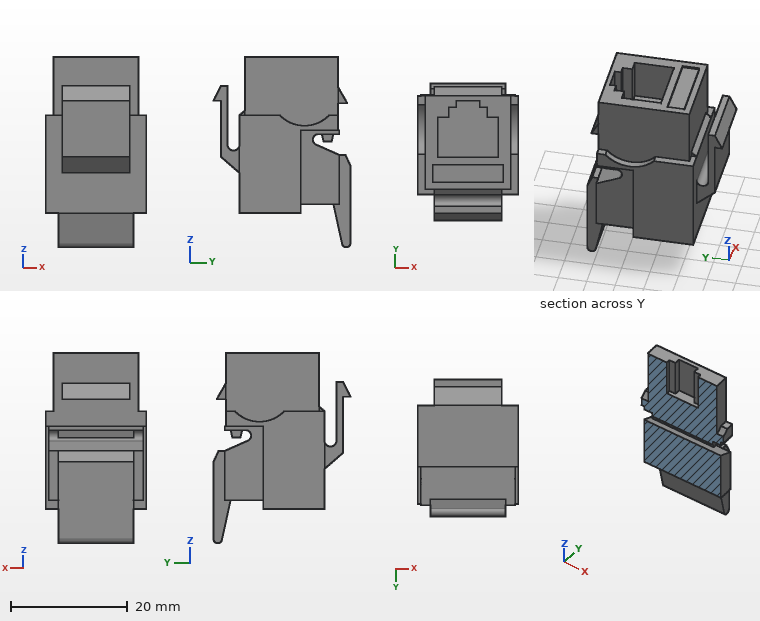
import cadquery as cq
import math

BASE_WIDTH = 17.2
BASE_DEPTH = 10.53
SHOULDER_Z = 16.8
BAND_BOTTOM_Z = 14.2
BLOCK_WIDTH = 14.57
BLOCK_FRONT_Y = 0.95
BLOCK_BACK_Y = 16.9
BLOCK_TOP_Z = 26.75

REAR_WIDTH = 16.1
REAR_BACK_Y = 17.1
REAR_BOTTOM_Z = 1.5

SCALLOP_FRONT_Y = 6.88
SCALLOP_BACK_Y = 15.4
SCALLOP_DEPTH = 1.83

SLOT_ROOF_Z = 13.5
SLOT_RADIUS = 0.9
SLOT_END_Y = 12.58
SLOT_MOUTH_Z = 9.98
TOOTH_CENTER_Y = 15.1
TOOTH_ROOT = 2.0
TOOTH_TIP = 1.4
TOOTH_HEIGHT = 1.27

LEVER_WIDTH = 12.88
LEVER_BACK_Y = 19.05
LEVER_TOP_Y = 18.15
LEVER_SHOULDER_Z = 8.1
LEVER_ROOT_Y = 16.07
LEVER_BOTTOM_Z = BLOCK_TOP_Z - 32.6
LEVER_TIP_RADIUS = 0.75

LATCH_WIDTH = 11.6
LATCH_INNER_Y = -2.02
LATCH_OUTER_Y = -3.2
LATCH_TOP_Z = 21.78
LATCH_BEND_Z = 9.65
LATCH_ROOT_Z = 6.88
LATCH_GAP_CENTER_Z = 11.75
HOOK_TIP_Y = -4.45
HOOK_BOTTOM_Z = 19.25
CATCH_TIP_Y = 18.5
CATCH_BOTTOM_Z = 18.8
CATCH_TOP_Z = 21.58
WEDGE_HEIGHT = 0.78

OPENING_FRONT_Y = 6.4
OPENING_STEPS = [(10.35, 13.27), (6.52, 14.95), (3.95, 16.05)]
OPENING_DEPTH = 7.05
LABEL_WIDTH = 12.03
LABEL_FRONT_Y = 2.12
LABEL_BACK_Y = 5.1
LABEL_DEPTH = 0.3


def box(width, y_front, y_back, z_bottom, z_top):
    """Box centred on X = 0 between the given Y and Z limits."""
    return (
        cq.Workplane("XY", origin=(0, (y_front + y_back) / 2, z_bottom))
        .box(width, y_back - y_front, z_top - z_bottom, centered=(True, True, False))
    )


def extrude_profile(profile, width):
    """Extrude a closed YZ profile symmetrically about X = 0."""
    return profile.close().extrude(width / 2, both=True)


def prism(points, width):
    return extrude_profile(cq.Workplane("YZ").polyline(points), width)


def tangent_angle(point, center, radius, side):
    """Angle on a circle where the line from an outside point touches it."""
    dy = point[0] - center[0]
    dz = point[1] - center[1]
    return math.atan2(dz, dy) + side * math.acos(radius / math.hypot(dy, dz))


def on_circle(center, radius, angle):
    return (center[0] + radius * math.cos(angle), center[1] + radius * math.sin(angle))


def make_body():
    base = box(BASE_WIDTH, 0, BASE_DEPTH, 0, SHOULDER_Z)
    band = box(BASE_WIDTH, 0, BLOCK_BACK_Y, BAND_BOTTOM_Z, SHOULDER_Z)
    scallop = extrude_profile(
        cq.Workplane("YZ")
        .moveTo(SCALLOP_FRONT_Y, SHOULDER_Z)
        .threePointArc(
            ((SCALLOP_FRONT_Y + SCALLOP_BACK_Y) / 2, SHOULDER_Z - SCALLOP_DEPTH),
            (SCALLOP_BACK_Y, SHOULDER_Z),
        ),
        BASE_WIDTH,
    )
    rear = box(REAR_WIDTH, BASE_DEPTH, REAR_BACK_Y, REAR_BOTTOM_Z, BAND_BOTTOM_Z)
    block = box(BLOCK_WIDTH, BLOCK_FRONT_Y, BLOCK_BACK_Y, BAND_BOTTOM_Z, BLOCK_TOP_Z)
    return base.union(band).cut(scallop).union(rear).union(block)


def make_slot():
    """Round-ended slot whose sloping floor runs tangent into the end arc."""
    center = (SLOT_END_Y + SLOT_RADIUS, SLOT_ROOF_Z - SLOT_RADIUS)
    mouth = (REAR_BACK_Y, SLOT_MOUTH_Z)
    touch = on_circle(center, SLOT_RADIUS, tangent_angle(mouth, center, SLOT_RADIUS, -1))
    profile = (
        cq.Workplane("YZ")
        .moveTo(REAR_BACK_Y, SLOT_ROOF_Z)
        .lineTo(center[0], SLOT_ROOF_Z)
        .threePointArc((SLOT_END_Y, center[1]), touch)
        .lineTo(*mouth)
    )
    return extrude_profile(profile, REAR_WIDTH)


def make_tooth():
    return prism(
        [
            (TOOTH_CENTER_Y - TOOTH_ROOT / 2, SLOT_ROOF_Z),
            (TOOTH_CENTER_Y - TOOTH_TIP / 2, SLOT_ROOF_Z - TOOTH_HEIGHT),
            (TOOTH_CENTER_Y + TOOTH_TIP / 2, SLOT_ROOF_Z - TOOTH_HEIGHT),
            (TOOTH_CENTER_Y + TOOTH_ROOT / 2, SLOT_ROOF_Z),
        ],
        LEVER_WIDTH,
    )


def make_lever():
    """Lever behind the rear body, tapering to a rounded lower tip."""
    center = (LEVER_BACK_Y - LEVER_TIP_RADIUS, LEVER_BOTTOM_Z + LEVER_TIP_RADIUS)
    root = (LEVER_ROOT_Y, REAR_BOTTOM_Z)
    touch = on_circle(center, LEVER_TIP_RADIUS, tangent_angle(root, center, LEVER_TIP_RADIUS, 1))
    profile = (
        cq.Workplane("YZ")
        .moveTo(REAR_BACK_Y, SLOT_MOUTH_Z)
        .lineTo(LEVER_TOP_Y, SLOT_MOUTH_Z)
        .lineTo(LEVER_BACK_Y, LEVER_SHOULDER_Z)
        .lineTo(LEVER_BACK_Y, center[1])
        .threePointArc((center[0], LEVER_BOTTOM_Z), touch)
        .lineTo(*root)
        .lineTo(REAR_BACK_Y, REAR_BOTTOM_Z)
    )
    return extrude_profile(profile, LEVER_WIDTH)


def make_latch():
    """Hooked spring arm joined to the base front by a rounded U gap."""
    gap_radius = -LATCH_INNER_Y / 2
    profile = (
        cq.Workplane("YZ")
        .moveTo(0, LATCH_ROOT_Z)
        .lineTo(LATCH_OUTER_Y, LATCH_BEND_Z)
        .lineTo(LATCH_OUTER_Y, HOOK_BOTTOM_Z)
        .lineTo(HOOK_TIP_Y, HOOK_BOTTOM_Z)
        .lineTo(LATCH_OUTER_Y, LATCH_TOP_Z)
        .lineTo(LATCH_INNER_Y, LATCH_TOP_Z)
        .lineTo(LATCH_INNER_Y, LATCH_GAP_CENTER_Z)
        .threePointArc(
            (-gap_radius, LATCH_GAP_CENTER_Z - gap_radius),
            (0, LATCH_GAP_CENTER_Z),
        )
    )
    return extrude_profile(profile, LATCH_WIDTH)


def make_catch():
    return prism(
        [
            (BLOCK_BACK_Y, CATCH_BOTTOM_Z),
            (CATCH_TIP_Y, CATCH_BOTTOM_Z),
            (BLOCK_BACK_Y, CATCH_TOP_Z),
        ],
        LATCH_WIDTH,
    )


def make_wedge():
    return prism(
        [
            (0, SHOULDER_Z),
            (BLOCK_FRONT_Y, SHOULDER_Z),
            (BLOCK_FRONT_Y, SHOULDER_Z + WEDGE_HEIGHT),
        ],
        LATCH_WIDTH,
    )


result = make_body().cut(make_slot())
for feature in (make_tooth(), make_lever(), make_latch(), make_catch(), make_wedge()):
    result = result.union(feature)

for step_width, step_back_y in OPENING_STEPS:
    result = result.cut(
        box(step_width, OPENING_FRONT_Y, step_back_y, BLOCK_TOP_Z - OPENING_DEPTH, BLOCK_TOP_Z)
    )
result = result.cut(
    box(LABEL_WIDTH, LABEL_FRONT_Y, LABEL_BACK_Y, BLOCK_TOP_Z - LABEL_DEPTH, BLOCK_TOP_Z)
)